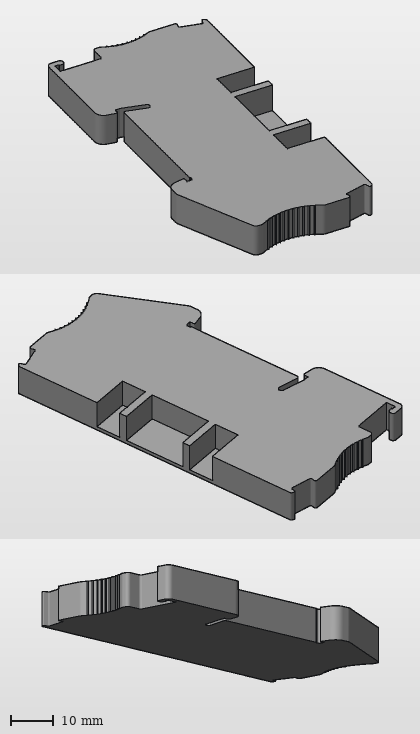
import cadquery as cq
import math

length = 84.1
depth = 42.2
thickness = 8.2

sharp = 0
crisp = 0.25
soft = 0.5
hook_tip_radius = 0.75
shelf_corner_radius = 0.8
hook_heel_radius = 1.3
slit_end_radius = 0.715
slope_start_radius = 1.7
slope_end_radius = 1.5

lip_back_x = 2.1
lip_tip_x = 1.5
lip_tip_y = 41.2
notch_top = (3.1, 40.7)
notch_bottom = (1.7, 34.9)
shoulder_y = 35.3

shelf_y = 12.7
hook_wall_x = 4.4
hook_left_x = 0.3
hook_top_y = 4.0
hook_floor_y = 1.5
hook_bulge_x = 2.1
hook_bulge_y = 2.5
hook_neck_x = 1.85

rail_y = 6.05
foot_ledge_y = 4.8
foot_tip_x = 26.4
foot_base_x = 25.6
foot_radius = 2.35
claw_tip_x = 58.1
claw_base_x = 59.0
claw_ledge_x = 59.55
relief_start_x = 58.45
relief_top_y = 6.3

slit_left_x = 25.0
slit_bend_y = 6.1
slit_right_x = 26.5
slit_top_y = 12.8
slit_tilt = math.radians(14.5)

slope_start_x = 63.2
slope_angle = math.radians(24.4)
slope_end_y = (length - slope_start_x) * math.tan(slope_angle)

pocket_depth = 10.1
pocket_floor = 1.0
side_pocket_width = 6.65
middle_pocket_width = 16.5
rib_width = 2.0

left_grip_y = 21.2
left_grip_half = 6.6
left_grip_hollow = 1.6
left_ridges = 9
right_grip_y = 19.8
right_grip_half = 8.2
right_grip_hollow = 2.4
right_ridges = 11
ridge_pitch = 1.3
ridge_width = 0.6
ridge_height = 0.3
ridge_root = 0.2
grip_edge_radius = 1.6


def rounded_outline(corners):
    """Closed wire through (x, y, radius) corners, each rounded by a tangent arc."""
    wire = None
    for i, (x, y, radius) in enumerate(corners):
        here = cq.Vector(x, y)
        before = cq.Vector(*corners[i - 1][:2]) - here
        after = cq.Vector(*corners[(i + 1) % len(corners)][:2]) - here
        half_angle = before.getAngle(after) / 2
        setback = radius / math.tan(half_angle)
        start = here + before.normalized() * setback
        end = here + after.normalized() * setback
        bisector = (before.normalized() + after.normalized()).normalized()
        middle = here + bisector * (radius / math.sin(half_angle) - radius)
        if wire is None:
            wire = cq.Workplane("XY").moveTo(start.x, start.y)
        else:
            wire = wire.lineTo(start.x, start.y)
        if radius > 0:
            wire = wire.threePointArc((middle.x, middle.y), (end.x, end.y))
    return wire.close()


def latch_corners():
    """Left latch notch, from the shoulder up to the back edge."""
    return [
        (0, shoulder_y, soft),
        (*notch_bottom, crisp),
        (*notch_top, crisp),
        (lip_tip_x, lip_tip_y, crisp),
        (lip_back_x, depth, soft),
    ]


def body():
    slit_left_top_x = slit_left_x + (slit_top_y - slit_bend_y) * math.tan(slit_tilt)
    slit_right_top_x = slit_right_x + (slit_top_y - rail_y) * math.tan(slit_tilt)
    left_latch = latch_corners()
    right_latch = [(length - x, y, radius) for x, y, radius in left_latch]
    hook = [
        (0, shelf_y, shelf_corner_radius),
        (hook_wall_x, shelf_y, soft),
        (hook_wall_x, hook_floor_y, sharp),
        (hook_neck_x, hook_floor_y, sharp),
        (hook_neck_x, hook_bulge_y, sharp),
        (hook_bulge_x, hook_bulge_y, sharp),
        (hook_bulge_x, hook_top_y, hook_tip_radius),
        (hook_left_x, hook_top_y, hook_tip_radius),
        (hook_left_x, 0, hook_heel_radius),
    ]
    left_foot = [
        (foot_base_x, 0, foot_radius),
        (foot_tip_x, foot_ledge_y, soft),
        (slit_left_x, foot_ledge_y, sharp),
    ]
    slit = [
        (slit_left_x, slit_bend_y, sharp),
        (slit_left_top_x, slit_top_y, slit_end_radius),
        (slit_right_top_x, slit_top_y, slit_end_radius),
        (slit_right_x, rail_y, soft),
    ]
    right_foot = [
        (relief_start_x, rail_y, sharp),
        (relief_start_x, relief_top_y, sharp),
        (claw_ledge_x, relief_top_y, soft),
        (claw_ledge_x, foot_ledge_y, sharp),
        (claw_tip_x, foot_ledge_y, crisp),
        (claw_base_x, 0, foot_radius),
        (slope_start_x, 0, slope_start_radius),
        (length, slope_end_y, slope_end_radius),
    ]
    corners = hook + left_foot + slit + right_foot + right_latch + left_latch[::-1]
    return rounded_outline(corners).extrude(thickness)


def grip_radius(half_opening, hollow):
    """Radius of the arc with the given half chord and sagitta."""
    return (half_opening**2 + hollow**2) / (2 * hollow)


def grip_hollow(center_x, center_y, radius):
    return cq.Workplane("XY").center(center_x, center_y).circle(radius).extrude(thickness)


def soften_grip_edges(part, side_x, center_y, half_opening):
    """Round the two vertical edges where a grip arc meets the flat side at side_x."""
    for edge_y in (center_y - half_opening, center_y + half_opening):
        edge = cq.selectors.NearestToPointSelector((side_x, edge_y, thickness / 2))
        part = part.edges("|Z").edges(edge).fillet(grip_edge_radius)
    return part


def grip_ridges(center_x, center_y, radius, facing, count):
    """Triangular ridges on a grip arc, evenly spaced along Y; facing is +1 for +X."""
    ridges = cq.Workplane("XY")
    for i in range(count):
        offset_y = (i - (count - 1) / 2) * ridge_pitch
        angle = math.degrees(math.asin(offset_y / radius))
        ridge = (
            cq.Workplane("XY")
            .polyline([
                (radius + ridge_root, -ridge_width / 2),
                (radius + ridge_root, ridge_width / 2),
                (radius - ridge_height, 0),
            ])
            .close()
            .extrude(thickness)
            .rotate((0, 0, 0), (0, 0, 1), angle)
        )
        if facing < 0:
            ridge = ridge.mirror("YZ")
        ridges = ridges.union(ridge.translate((center_x, center_y, 0)))
    return ridges


def back_pockets():
    """Three pockets open to the back edge, separated by two thin ribs."""
    side_offset = middle_pocket_width / 2 + rib_width + side_pocket_width / 2
    pockets = cq.Workplane("XY")
    for offset, width in (
        (-side_offset, side_pocket_width),
        (0, middle_pocket_width),
        (side_offset, side_pocket_width),
    ):
        pocket = cq.Workplane("XY").box(width, pocket_depth, thickness, centered=(True, False, False))
        pockets = pockets.union(pocket.translate((length / 2 + offset, depth - pocket_depth, pocket_floor)))
    return pockets


left_radius = grip_radius(left_grip_half, left_grip_hollow)
left_center_x = left_grip_hollow - left_radius
right_radius = grip_radius(right_grip_half, right_grip_hollow)
right_center_x = length - right_grip_hollow + right_radius

result = body().cut(back_pockets())
result = result.cut(grip_hollow(left_center_x, left_grip_y, left_radius))
result = result.cut(grip_hollow(right_center_x, right_grip_y, right_radius))
result = soften_grip_edges(result, 0, left_grip_y, left_grip_half)
result = soften_grip_edges(result, length, right_grip_y, right_grip_half)
result = result.union(grip_ridges(left_center_x, left_grip_y, left_radius, 1, left_ridges))
result = result.union(grip_ridges(right_center_x, right_grip_y, right_radius, -1, right_ridges))